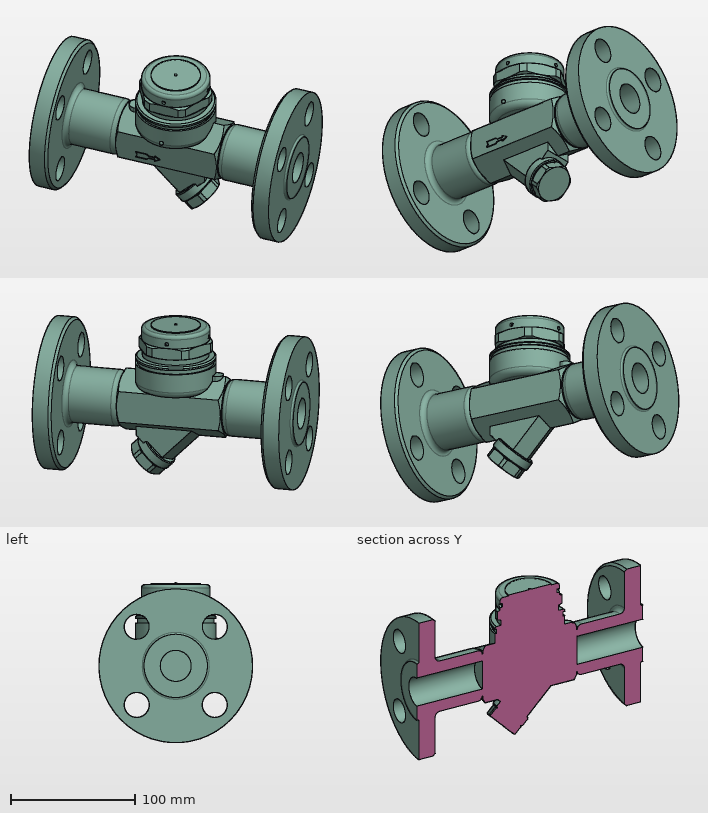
import cadquery as cq
import math


face_to_face = 210.0
flange_dia = 124.0
flange_thickness = 15.3
flange_edge_chamfer = 2.0
raised_face_dia = 51.0
raised_face_height = 2.0
raised_face_round = 1.5
pipe_dia = 46.0
pipe_root_round = 4.2
pipe_end_round = 4.2
bore_dia = 25.0
bore_depth = 61.0
bolt_hole_dia = 20.0
bolt_circle_dia = 88.8
bolt_hole_count = 4
bolt_start_angle = 180 / bolt_hole_count

body_length = 87.5
body_across_flats = 45.0
body_end_dia = 43.3
body_chamfer_length = 2.3

boss_x = -34.2
boss_dia = 11.0
boss_top = 26.9

cup_bottom = 13.5
cup_top = 34.5
cup_dia = 65.0
cup_corner_radius = 5.7
cup_groove_dia = 62.0
collar_bottom = 38.0
collar_top = 40.7
collar_chamfer = 1.3
neck_dia = 54.0
pip_dia = 3.4
pip_height = 1.9
pip_round = 1.3
pip_z = 20.5

hex_bottom = 45.2
hex_top = 54.8
hex_across_flats = 54.8
hex_round_dia = 60.0
hex_chamfer_height = 1.0
cap_dia = 55.5
cap_top = 65.5
cap_top_round = 3.0
cap_disc_dia = 40.0
cap_disc_height = 0.8
nub_dia = 3.0
cap_hole_dia = 3.0
cap_hole_depth = 2.0
cap_hole_z = 58.4
cap_hole_count = 4

branch_start_x = -24.8
branch_across_flats = 25.6
branch_length = 57.0
branch_right_x = 29.6
branch_top = -4.2
plug_collar_dia = 34.0
plug_collar_start = 53.5
plug_collar_end = 62.2
plug_collar_chamfer = 0.8
plug_head_end = 71.2
plug_head_across_flats = 29.8
plug_head_round_dia = 32.8
plug_head_chamfer_height = 0.6

arrow_tail_x = -25.8
arrow_tip_x = -5.0
arrow_z = -5.5
arrow_notch_depth = 1.3
arrow_half_width = 2.5
arrow_tail_length = 11.0
arrow_tail_taper = 1.5
arrow_shaft_half_width = 1.0
arrow_head_length = 4.5
arrow_height = 0.8


def hexagon_corner_dia(across_flats):
    return across_flats / math.cos(math.pi / 6)


def chamfered_hexagon(plane, across_flats, round_dia, height, chamfer_height):
    """A hexagon with rounded corners, bevelled down to its flats at both ends."""
    corner_dia = hexagon_corner_dia(across_flats)
    prism = cq.Workplane(plane).polygon(6, corner_dia).extrude(height)
    bevel = (round_dia - across_flats) / 2
    envelope = cq.Workplane(plane).circle(round_dia / 2).extrude(height)
    envelope = envelope.edges("%CIRCLE").chamfer(chamfer_height, bevel)
    return prism.intersect(envelope)


def flanged_stub():
    """The flange and pipe stub at the -X end, revolved about the X axis."""
    face_x = -face_to_face / 2
    front_x = face_x + raised_face_height
    back_x = front_x + flange_thickness
    pipe_end_x = -body_length / 2
    flange_r = flange_dia / 2
    raised_r = raised_face_dia / 2
    pipe_r = pipe_dia / 2
    profile = (
        cq.Workplane("XZ")
        .moveTo(face_x, 0)
        .lineTo(face_x, raised_r)
        .lineTo(front_x - raised_face_round, raised_r)
        .radiusArc((front_x, raised_r + raised_face_round), -raised_face_round)
        .lineTo(front_x, flange_r)
        .lineTo(back_x - flange_edge_chamfer, flange_r)
        .lineTo(back_x, flange_r - flange_edge_chamfer)
        .lineTo(back_x, pipe_r + pipe_root_round)
        .radiusArc((back_x + pipe_root_round, pipe_r), -pipe_root_round)
        .lineTo(pipe_end_x - pipe_end_round, pipe_r)
        .radiusArc((pipe_end_x, pipe_r - pipe_end_round), pipe_end_round)
        .lineTo(pipe_end_x, 0)
        .close()
    )
    return profile.revolve(360, (0, 0, 0), (1, 0, 0))


def flange_holes():
    """The blind bore and the through bolt holes at the -X end."""
    face = cq.Workplane("YZ", origin=(-face_to_face / 2, 0, 0))
    bore = face.circle(bore_dia / 2).extrude(bore_depth)
    bolts = face.polarArray(bolt_circle_dia / 2, bolt_start_angle, 360, bolt_hole_count)
    bolts = bolts.circle(bolt_hole_dia / 2).extrude(raised_face_height + flange_thickness)
    return bore.union(bolts)


def hexagonal_body():
    """The hexagon along X with an edge on top, its ends turned down to a cone."""
    corner_dia = hexagon_corner_dia(body_across_flats)
    end_plane = cq.Plane(origin=(-body_length / 2, 0, 0), xDir=(0, 0, 1), normal=(1, 0, 0))
    prism = cq.Workplane(end_plane).polygon(6, corner_dia).extrude(body_length)
    turned = cq.Workplane(end_plane).circle(corner_dia / 2).extrude(body_length)
    turned = turned.edges("%CIRCLE").chamfer(body_chamfer_length, (corner_dia - body_end_dia) / 2)
    return prism.intersect(turned)


def cup_and_neck():
    """The cup with its rounded bottom corner, groove, collar and neck, revolved about Z."""
    cup_r = cup_dia / 2
    groove_r = cup_groove_dia / 2
    profile = (
        cq.Workplane("XZ")
        .moveTo(0, cup_bottom)
        .lineTo(cup_r - cup_corner_radius, cup_bottom)
        .radiusArc((cup_r, cup_bottom + cup_corner_radius), -cup_corner_radius)
        .lineTo(cup_r, cup_top)
        .lineTo(groove_r, cup_top)
        .lineTo(groove_r, collar_bottom)
        .lineTo(cup_r, collar_bottom)
        .lineTo(cup_r, collar_top - collar_chamfer)
        .lineTo(cup_r - collar_chamfer, collar_top)
        .lineTo(neck_dia / 2, collar_top)
        .lineTo(neck_dia / 2, hex_bottom)
        .lineTo(0, hex_bottom)
        .close()
    )
    cup = profile.revolve(360, (0, 0, 0), (0, 1, 0))
    pip = cq.Workplane("XZ", origin=(0, -groove_r, pip_z)).circle(pip_dia / 2)
    pip = pip.extrude(cup_r + pip_height - groove_r).faces("<Y").edges().fillet(pip_round)
    return cup.union(pip)


def cap():
    """The screwed cap: hexagon, rounded drum, thin disc, centre nub and radial holes."""
    hex_plane = cq.Plane(origin=(0, 0, hex_bottom), xDir=(1, 0, 0), normal=(0, 0, 1))
    hexagon = chamfered_hexagon(
        hex_plane, hex_across_flats, hex_round_dia, hex_top - hex_bottom, hex_chamfer_height
    )
    drum = cq.Workplane("XY", origin=(0, 0, hex_top)).circle(cap_dia / 2).extrude(cap_top - hex_top)
    drum = drum.faces(">Z").edges().fillet(cap_top_round)
    top = cq.Workplane("XY", origin=(0, 0, cap_top))
    disc = top.circle(cap_disc_dia / 2).extrude(cap_disc_height)
    nub = top.sphere(nub_dia / 2)
    hole = (
        cq.Workplane("XZ", origin=(0, -cap_dia / 2 + cap_hole_depth, cap_hole_z))
        .circle(cap_hole_dia / 2)
        .extrude(2 * cap_hole_depth)
    )
    body = hexagon.union(drum).union(disc).union(nub)
    for index in range(cap_hole_count):
        body = body.cut(hole.rotate((0, 0, 0), (0, 0, 1), index * 360 / cap_hole_count))
    return body


def side_boss():
    """A round-ended boss running from the body's top edge into the cup."""
    boss_r = boss_dia / 2
    base = cq.Workplane("XY")
    round_end = base.center(boss_x, 0).circle(boss_r).extrude(boss_top)
    bridge = base.center(boss_x / 2, 0).rect(-boss_x, boss_dia).extrude(boss_top)
    return round_end.union(bridge)


def branch_plane(distance):
    """Plane square to the branch axis; its local X points up and to the right."""
    step = distance / math.sqrt(2)
    return cq.Plane(origin=(branch_start_x + step, 0, -step), xDir=(1, 0, 1), normal=(1, 0, -1))


def strainer_branch():
    """The 45 degree branch: half a hexagon below, flat sides running up into the body."""
    half_width = branch_across_flats / 2
    corner = hexagon_corner_dia(branch_across_flats) / 2
    reach = face_to_face / 2
    block = (
        cq.Workplane(branch_plane(0))
        .polyline([
            (-corner, 0),
            (-corner / 2, half_width),
            (reach, half_width),
            (reach, -half_width),
            (-corner / 2, -half_width),
        ])
        .close()
        .extrude(branch_length)
    )
    limit = cq.Workplane("XY", origin=(branch_right_x - reach, 0, branch_top - reach))
    limit = limit.box(2 * reach, flange_dia, 2 * reach)
    return block.intersect(limit)


def strainer_plug():
    """The plug's round collar and hexagon head on the branch axis."""
    collar_length = plug_collar_end - plug_collar_start
    collar = cq.Workplane(branch_plane(plug_collar_start)).circle(plug_collar_dia / 2)
    collar = collar.extrude(collar_length).edges("%CIRCLE").chamfer(plug_collar_chamfer)
    head = chamfered_hexagon(
        branch_plane(plug_collar_end),
        plug_head_across_flats,
        plug_head_round_dia,
        plug_head_end - plug_collar_end,
        plug_head_chamfer_height,
    )
    return collar.union(head)


def flow_arrow():
    """A raised arrow pointing along +X on the -Y flat."""
    shaft_x = arrow_tail_x + arrow_tail_length
    head_x = arrow_tip_x - arrow_head_length
    upper_side = [
        (arrow_tail_x + arrow_notch_depth, 0),
        (arrow_tail_x, arrow_half_width),
        (shaft_x - arrow_tail_taper, arrow_half_width),
        (shaft_x, arrow_shaft_half_width),
        (head_x, arrow_shaft_half_width),
        (head_x, arrow_half_width),
        (arrow_tip_x, 0),
    ]
    lower_side = [(x, -z) for x, z in reversed(upper_side[1:-1])]
    flat = cq.Workplane("XZ", origin=(0, -body_across_flats / 2, arrow_z))
    return flat.polyline(upper_side + lower_side).close().extrude(arrow_height)


def both_ends(shape):
    return shape.union(shape.mirror("YZ"))


result = (
    hexagonal_body()
    .union(both_ends(flanged_stub()))
    .union(side_boss())
    .union(cup_and_neck())
    .union(cap())
    .union(strainer_branch())
    .union(strainer_plug())
    .union(flow_arrow())
    .cut(both_ends(flange_holes()))
)